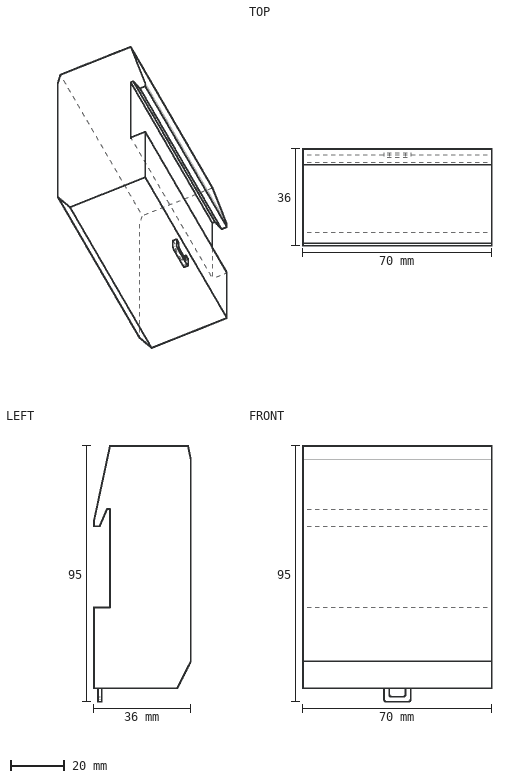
import cadquery as cq

total_height = 95.0
width = 70.0
depth = 36.0

tab_drop = 5.0
tab_width = 10.0
tab_wall = 2.0
tab_thickness = 1.5
tab_setback = 1.5
tab_outer_radius = 1.0
tab_inner_radius = 0.8

top_bevel_depth = 1.0
top_bevel_height = 5.0
bottom_bevel_depth = 5.0
bottom_bevel_height = 10.0

recess_depth = 6.0
recess_bottom = 30.0
recess_top = 66.5
recess_roof_width = 1.0
hook_tip_height = 60.0
hook_tip_width = 2.2
hook_back_height = 2.0

body_height = total_height - tab_drop
recess_floor_y = depth - recess_depth


def make_housing():
    """Constant side profile extruded across the width."""
    profile = [
        (bottom_bevel_depth, 0),
        (depth, 0),
        (depth, recess_bottom),
        (recess_floor_y, recess_bottom),
        (recess_floor_y, recess_top),
        (recess_floor_y + recess_roof_width, recess_top),
        (depth - hook_tip_width, hook_tip_height),
        (depth, hook_tip_height),
        (depth, hook_tip_height + hook_back_height),
        (recess_floor_y, body_height),
        (top_bevel_depth, body_height),
        (0, body_height - top_bevel_height),
        (0, bottom_bevel_height),
    ]
    return cq.Workplane("YZ").polyline(profile).close().extrude(width / 2, both=True)


def make_tab_plate(plate_width, drop, corner_radius):
    """Plate hanging from the housing underside, with rounded lower corners."""
    return (
        cq.Workplane("XY")
        .box(plate_width, tab_thickness, drop, centered=(True, False, False))
        .translate((0, depth - tab_setback - tab_thickness, -drop))
        .edges("|Y and <Z")
        .fillet(corner_radius)
    )


def make_tab():
    """U-shaped loop, open against the housing."""
    plate = make_tab_plate(tab_width, tab_drop, tab_outer_radius)
    opening = make_tab_plate(tab_width - 2 * tab_wall, tab_drop - tab_wall, tab_inner_radius)
    return plate.cut(opening)


result = make_housing().union(make_tab())